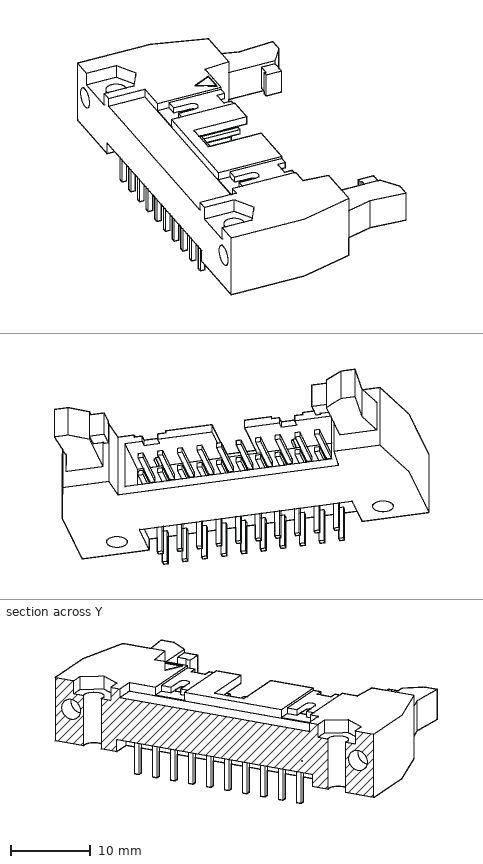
import cadquery as cq


BODY_WIDTH = 45.0
BODY_HEIGHT = 8.5
SIDE_LENGTH = 10.15
SHOULDER_Y = 17.3
SHOULDER_OUTER_X = 20.55
SHOULDER_INNER_X = 14.6
MOUTH_HALF_WIDTH = 14.3
MOUTH_Y = 13.87

CAVITY_WIDTH = 26.8
CAVITY_BACK_Y = 7.5
CAVITY_CEILING_Z = 7.4
CAVITY_FLOOR_Z = BODY_HEIGHT - CAVITY_CEILING_Z

SHELF_WIDTH = 26.7
SHELF_DEPTH_Y = 5.05
SHELF_Z = 7.35
POCKET_WIDTH = 27.6
POCKET_HEIGHT = 1.6

PITCH = 2.54
PINS_PER_ROW = 10
PIN_ROWS = 2
PIN_SIZE = 0.64
PIN_FRONT_Y = 13.6
PIN_DROP = 2.9
FIRST_TAIL_Y = 1.13
UPPER_PIN_Z = BODY_HEIGHT / 2 + PITCH / 2

GROOVE_CENTERS = (-3 * PITCH, 4 * PITCH)
GROOVE_WIDTH = 4.07
GROOVE_Z = 8.2
GROOVE_STEP_Y = 6.65
GROOVE_STEP_Z = 7.45
WINDOW_WIDTH = 1.35
WINDOW_END_Y = 9.65
NOTCH_WIDTH = 2.0
NOTCH_DEPTH = 1.05

KEY_WIDTH = 4.2
KEY_START_Y = 6.5

MARK_CENTER_X = -11.45
MARK_WIDTH = 2.5
MARK_BASE_Y = 13.55
MARK_TIP_Y = 11.1
MARK_DEPTH = 0.1

HOLE_DIAMETER = 2.6
MOUNT_X = 17.25
MOUNT_Y = 2.9
NUT_WIDTH = 5.2
NUT_SIDE_Y = 4.15
NUT_TIP_Y = 5.65
NUT_DEPTH = 1.73
END_HOLE_X = 20.25
END_HOLE_Z = 4.6
END_HOLE_DEPTH = 5.0

LATCH_BOTTOM_Z = 2.3
LATCH_HEIGHT = 4.05
LATCH_END_Y = 25.75
LATCH_INNER_X = 15.35
LATCH_ROOT_X = 20.15
LATCH_WAIST_X = 19.15
LATCH_WAIST_Y = 20.9
LATCH_TIP_OUTER_X = 19.5
LATCH_TIP_INNER_X = 17.7
HOOK_END_X = 13.45
HOOK_LIP_X = 14.05
HOOK_TOP_Y = 24.1
HOOK_BOTTOM_Y = 22.2
HOOK_LIP_Y = 21.95
HOOK_INSET_Z = 0.45

SIDES = (-1, 1)


def block(x_center, width, y_start, y_end, z_start, z_end):
    """Box centred on x_center, between the given Y and Z limits."""
    size = (width, y_end - y_start, z_end - z_start)
    return cq.Workplane("XY").box(*size, centered=(True, False, False)).translate((x_center, y_start, z_start))


def prism(points, z_start, z_end):
    """Closed outline in XY, extruded between two heights."""
    return cq.Workplane("XY").workplane(offset=z_start).polyline(points).close().extrude(z_end - z_start)


def make_body():
    right_half = [
        (BODY_WIDTH / 2, 0),
        (BODY_WIDTH / 2, SIDE_LENGTH),
        (SHOULDER_OUTER_X, SHOULDER_Y),
        (SHOULDER_INNER_X, SHOULDER_Y),
        (MOUTH_HALF_WIDTH, MOUTH_Y),
    ]
    left_half = [(-x, y) for x, y in reversed(right_half)]
    body = prism(right_half + left_half, 0, BODY_HEIGHT)
    cavity = block(0, CAVITY_WIDTH, CAVITY_BACK_Y, MOUTH_Y, CAVITY_FLOOR_Z, CAVITY_CEILING_Z)
    shelf = block(0, SHELF_WIDTH, 0, SHELF_DEPTH_Y, SHELF_Z, BODY_HEIGHT)
    pocket = block(0, POCKET_WIDTH, 0, SHELF_DEPTH_Y, 0, POCKET_HEIGHT)
    return body.cut(cavity).cut(shelf).cut(pocket)


def groove_cut(x):
    """Stepped groove with a round-ended window and a notch at the mouth."""
    groove = block(x, GROOVE_WIDTH, SHELF_DEPTH_Y, MOUTH_Y, GROOVE_Z, BODY_HEIGHT)
    step = block(x, GROOVE_WIDTH, SHELF_DEPTH_Y, GROOVE_STEP_Y, GROOVE_STEP_Z, BODY_HEIGHT)
    radius = WINDOW_WIDTH / 2
    arc_start_y = WINDOW_END_Y - radius
    ledge = block(x, WINDOW_WIDTH, GROOVE_STEP_Y, CAVITY_BACK_Y, GROOVE_STEP_Z, BODY_HEIGHT)
    window = (
        cq.Workplane("XY")
        .workplane(offset=CAVITY_CEILING_Z)
        .moveTo(x - radius, CAVITY_BACK_Y)
        .lineTo(x + radius, CAVITY_BACK_Y)
        .lineTo(x + radius, arc_start_y)
        .threePointArc((x, WINDOW_END_Y), (x - radius, arc_start_y))
        .close()
        .extrude(BODY_HEIGHT - CAVITY_CEILING_Z)
    )
    notch = block(x, NOTCH_WIDTH, MOUTH_Y - NOTCH_DEPTH, MOUTH_Y, CAVITY_CEILING_Z, BODY_HEIGHT)
    return groove.union(step).union(ledge).union(window).union(notch)


def key_cut():
    return block(0, KEY_WIDTH, KEY_START_Y, MOUTH_Y, CAVITY_CEILING_Z, BODY_HEIGHT)


def mark_cut():
    triangle = [
        (MARK_CENTER_X - MARK_WIDTH / 2, MARK_BASE_Y),
        (MARK_CENTER_X + MARK_WIDTH / 2, MARK_BASE_Y),
        (MARK_CENTER_X, MARK_TIP_Y),
    ]
    return prism(triangle, BODY_HEIGHT - MARK_DEPTH, BODY_HEIGHT)


def mounting_cut(side):
    """Through hole with its pointed nut pocket, and the blind hole beside it."""
    x = side * MOUNT_X
    nut_outline = [
        (x - NUT_WIDTH / 2, 0),
        (x + NUT_WIDTH / 2, 0),
        (x + NUT_WIDTH / 2, NUT_SIDE_Y),
        (x, NUT_TIP_Y),
        (x - NUT_WIDTH / 2, NUT_SIDE_Y),
    ]
    nut_pocket = prism(nut_outline, BODY_HEIGHT - NUT_DEPTH, BODY_HEIGHT)
    mount_hole = cq.Workplane("XY").center(x, MOUNT_Y).circle(HOLE_DIAMETER / 2).extrude(BODY_HEIGHT)
    end_hole = (
        cq.Workplane("XZ")
        .center(side * END_HOLE_X, END_HOLE_Z)
        .circle(HOLE_DIAMETER / 2)
        .extrude(-END_HOLE_DEPTH)
    )
    return nut_pocket.union(mount_hole).union(end_hole)


def make_latch(side):
    """Latch arm with an inward hook of lesser height; its root is sunk into the body shoulder."""
    arm_outline = [
        (LATCH_ROOT_X, SIDE_LENGTH),
        (LATCH_ROOT_X, SHOULDER_Y),
        (LATCH_WAIST_X, LATCH_WAIST_Y),
        (LATCH_TIP_OUTER_X, LATCH_END_Y),
        (LATCH_TIP_INNER_X, LATCH_END_Y),
        (LATCH_INNER_X, HOOK_TOP_Y),
        (LATCH_INNER_X, SIDE_LENGTH),
    ]
    hook_outline = [
        (LATCH_INNER_X, HOOK_TOP_Y),
        (HOOK_END_X, HOOK_TOP_Y),
        (HOOK_END_X, HOOK_LIP_Y),
        (HOOK_LIP_X, HOOK_LIP_Y),
        (HOOK_LIP_X, HOOK_BOTTOM_Y),
        (LATCH_INNER_X, HOOK_BOTTOM_Y),
    ]
    top_z = LATCH_BOTTOM_Z + LATCH_HEIGHT
    arm = prism([(side * x, y) for x, y in arm_outline], LATCH_BOTTOM_Z, top_z)
    hook = prism(
        [(side * x, y) for x, y in hook_outline],
        LATCH_BOTTOM_Z + HOOK_INSET_Z,
        top_z - HOOK_INSET_Z,
    )
    return arm.union(hook)


def make_pin(x, tail_y, contact_z):
    """Right-angle pin: a contact along Y and a tail down through the underside."""
    half = PIN_SIZE / 2
    contact = block(x, PIN_SIZE, tail_y - half, PIN_FRONT_Y, contact_z - half, contact_z + half)
    tail = block(x, PIN_SIZE, tail_y - half, tail_y + half, -PIN_DROP, contact_z + half)
    return contact.union(tail)


result = make_body()
for groove_x in GROOVE_CENTERS:
    result = result.cut(groove_cut(groove_x))
result = result.cut(key_cut()).cut(mark_cut())

for side in SIDES:
    result = result.cut(mounting_cut(side)).union(make_latch(side))

for column in range(PINS_PER_ROW):
    pin_x = (column - (PINS_PER_ROW - 1) / 2) * PITCH
    for row in range(PIN_ROWS):
        pin = make_pin(pin_x, FIRST_TAIL_Y + row * PITCH, UPPER_PIN_Z - row * PITCH)
        result = result.union(pin)